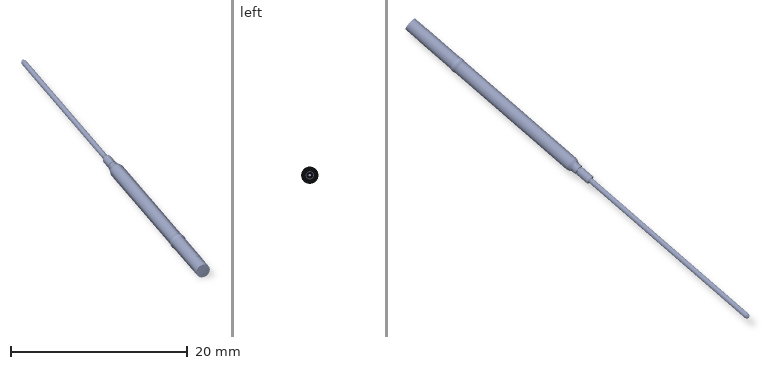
import cadquery as cq

tip_diameter = 0.4
rod_diameter = 0.63
sleeve_diameter = 1.05
groove_diameter = 0.84
neck_diameter = 1.19
lip_diameter = 1.35
nose_diameter = 1.5
body_diameter = 1.68
bulge_diameter = 1.84
tail_diameter = 1.64

total_length = 51.49
tip_length = 0.25
rod_length = 24.07
sleeve_length = 1.6
groove_width = 0.2
neck_length = 0.58
lip_length = 0.15
nose_length = 0.35
bulge_width = 0.7
bulge_to_end = 7.54
tail_length = 2.0

groove_start = rod_length + sleeve_length
neck_start = groove_start + groove_width
lip_start = neck_start + neck_length
nose_start = lip_start + lip_length
body_start = nose_start + nose_length
bulge_start = total_length - bulge_to_end
bulge_middle = bulge_start + bulge_width / 2
bulge_end = bulge_start + bulge_width
tail_start = total_length - tail_length


def add_cylinder(outline, diameter, start, end):
    """Step the outline to a diameter and run it parallel to the axis."""
    return outline.lineTo(start, diameter / 2).lineTo(end, diameter / 2)


def add_rod(outline):
    """Thin rod with a blunt conical tip."""
    outline = outline.lineTo(0, tip_diameter / 2)
    return add_cylinder(outline, rod_diameter, tip_length, rod_length)


def add_sleeve_and_neck(outline):
    """Sleeve behind the rod, a narrow groove and the slightly thicker neck."""
    outline = add_cylinder(outline, sleeve_diameter, rod_length, groove_start)
    outline = add_cylinder(outline, groove_diameter, groove_start, neck_start)
    return add_cylinder(outline, neck_diameter, neck_start, lip_start)


def add_body(outline):
    """Body with a stepped lip, a conical nose and a rounded bulge near the rear."""
    outline = add_cylinder(outline, lip_diameter, lip_start, nose_start)
    outline = outline.lineTo(nose_start, nose_diameter / 2)
    outline = add_cylinder(outline, body_diameter, body_start, bulge_start)
    outline = outline.threePointArc(
        (bulge_middle, bulge_diameter / 2),
        (bulge_end, body_diameter / 2),
    )
    return outline.lineTo(tail_start, body_diameter / 2)


def add_tail(outline):
    """Plain tail, slightly thinner than the body, closed back to the axis."""
    outline = add_cylinder(outline, tail_diameter, tail_start, total_length)
    return outline.lineTo(total_length, 0).close()


half_outline = cq.Workplane("XZ")
half_outline = add_rod(half_outline)
half_outline = add_sleeve_and_neck(half_outline)
half_outline = add_body(half_outline)
half_outline = add_tail(half_outline)

result = half_outline.revolve(360, (0, 0, 0), (1, 0, 0))